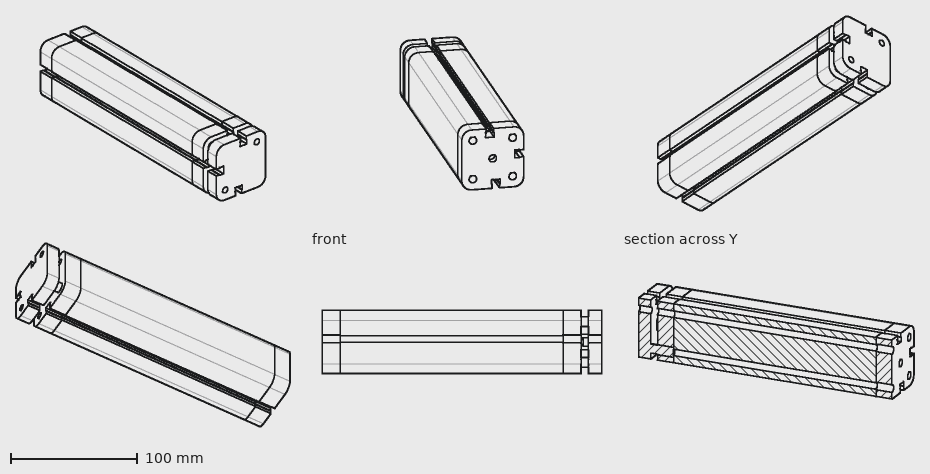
import cadquery as cq

total_length = 220.5
side = 50.0
corner_radius = 8.0
cap_length = 14.1
housing_length = 204.2
plate_start = 210.0
front_cap_start = housing_length - cap_length
barrel_length = front_cap_start - cap_length
plate_thickness = total_length - plate_start

slot_offset = 2.5
lip_depth = 3.5
cap_slot_mouth = 6.0
cap_slot_width = 6.8
cap_slot_depth = 7.3
barrel_slot_mouth = 5.3
barrel_slot_width = 6.2
barrel_slot_depth = 6.8

corner_offset = 16.0
guide_diameter = 8.0
cap_hole_diameter = 6.0
screw_hole_diameter = 5.0
screw_corners = [(corner_offset, corner_offset), (-corner_offset, -corner_offset)]
guide_corners = [(-corner_offset, corner_offset), (corner_offset, -corner_offset)]

rod_diameter = 12.3
rod_flats = 10.4
rod_bevel_length = 1.5
rod_start = front_cap_start
flats_start = housing_length + rod_bevel_length

centre_hole_diameter = 6.0
centre_hole_depth = 6.6


def block(x_start, length):
    """Square bar along X with rounded long edges."""
    bar = cq.Workplane("YZ", origin=(x_start, 0, 0)).rect(side, side).extrude(length)
    return bar.edges("|X").fillet(corner_radius)


def slot_boxes(x_start, length, width, top, bottom):
    """Boxes between two depths below the top, bottom and -Y sides."""
    height = bottom - top
    middle = side / 2 - (top + bottom) / 2
    plane = cq.Workplane("YZ", origin=(x_start, 0, 0))
    places = [(slot_offset, middle), (-slot_offset, -middle)]
    level_boxes = plane.pushPoints(places).rect(width, height).extrude(length)
    upright_box = plane.center(-middle, slot_offset).rect(height, width).extrude(length)
    return level_boxes.add(upright_box)


def cut_slots(body, x_start, length, mouth, width, depth):
    """Cut the T-slots: a narrow mouth through the lips and a wider channel behind."""
    for box in slot_boxes(x_start, length, mouth, 0, lip_depth).vals():
        body = body.cut(cq.Workplane(box))
    for box in slot_boxes(x_start, length, width, lip_depth, depth).vals():
        body = body.cut(cq.Workplane(box))
    return body


def slotted_end_block(x_start, length):
    """Block with the larger T-slots of the caps and the guide plate."""
    return cut_slots(
        block(x_start, length), x_start, length, cap_slot_mouth, cap_slot_width, cap_slot_depth
    )


def rods(x_start, x_end, diameter, places):
    """Round bars along X at the given (Y, Z) places."""
    plane = cq.Workplane("YZ", origin=(x_start, 0, 0))
    return plane.pushPoints(places).circle(diameter / 2).extrude(x_end - x_start)


def make_rear_cap():
    cap = slotted_end_block(0, cap_length)
    cap = cap.cut(rods(0, cap_length, cap_hole_diameter, screw_corners + guide_corners))
    return cap.cut(rods(0, centre_hole_depth, centre_hole_diameter, [(0, 0)]))


def make_barrel():
    barrel = cut_slots(
        block(cap_length, barrel_length),
        cap_length,
        barrel_length,
        barrel_slot_mouth,
        barrel_slot_width,
        barrel_slot_depth,
    )
    return barrel.cut(
        rods(cap_length, front_cap_start, screw_hole_diameter, screw_corners + guide_corners)
    )


def make_front_cap():
    cap = slotted_end_block(front_cap_start, cap_length)
    cap = cap.cut(rods(front_cap_start, housing_length, screw_hole_diameter, screw_corners))
    cap = cap.cut(rods(front_cap_start, housing_length, guide_diameter, guide_corners))
    return cap.cut(rods(front_cap_start, housing_length, rod_diameter, [(0, 0)]))


def make_piston_rod():
    rod = rods(rod_start, plate_start, rod_diameter, [(0, 0)])
    flat_outline = [
        (rod_start, -rod_diameter / 2),
        (housing_length, -rod_diameter / 2),
        (flats_start, -rod_flats / 2),
        (plate_start, -rod_flats / 2),
        (plate_start, rod_flats / 2),
        (flats_start, rod_flats / 2),
        (housing_length, rod_diameter / 2),
        (rod_start, rod_diameter / 2),
    ]
    envelope = cq.Workplane("XY").polyline(flat_outline).close().extrude(rod_diameter, both=True)
    return rod.intersect(envelope)


def make_guide_plate():
    plate = slotted_end_block(plate_start, plate_thickness)
    plate = plate.cut(rods(plate_start, total_length, screw_hole_diameter, screw_corners))
    return plate.union(rods(front_cap_start, plate_start, guide_diameter, guide_corners))


rear_cap = make_rear_cap()
barrel = make_barrel()
front_cap = make_front_cap()
piston_rod = make_piston_rod()
guide_plate = make_guide_plate()

result = cq.Compound.makeCompound(
    [rear_cap.val(), barrel.val(), front_cap.val(), piston_rod.val(), guide_plate.val()]
)